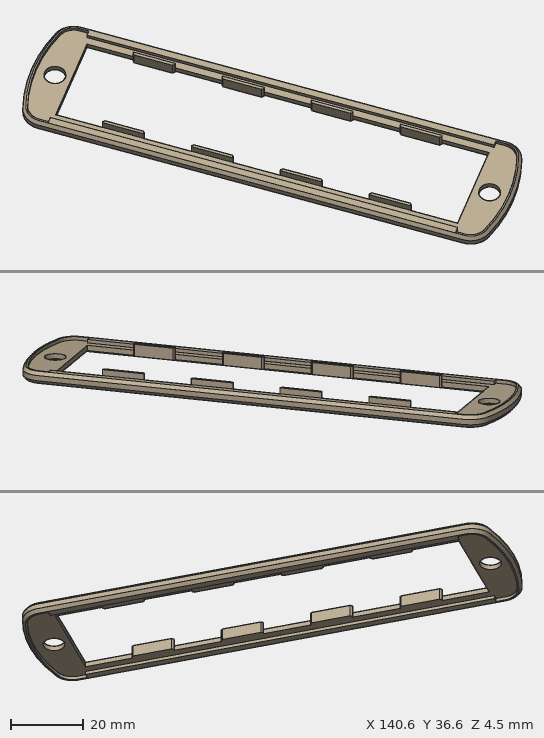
import cadquery as cq
import math

length = 140.6
width = 36.6
body_height = 3.5
end_radius = 45.0
corner_radius = 6.2
edge_chamfer_height = 1.0
edge_chamfer_inset = 0.85

rim_inset = 1.35
recess_depth = 1.0
web_bottom = recess_depth
web_top = body_height - recess_depth
rail_length = 119.0
rail_spacing = 30.8

window_length = 117.4
window_width = 26.4
hole_diameter = 6.0
hole_spacing = 127.0

tab_count = 4
tab_pitch = 26.0
tab_length = 12.2
tab_thickness = 0.9
tab_bevel = 0.5
tab_top = 4.5


def outline(inset):
    """Closed outline with bowed ends and tangent corners, moved inward by inset."""
    half_length = length / 2 - inset
    half_width = width / 2 - inset
    bow = end_radius - inset
    corner = corner_radius - inset

    bow_x = half_length - bow
    corner_y = half_width - corner
    corner_x = bow_x + math.sqrt((bow - corner) ** 2 - corner_y ** 2)
    joint_angle = math.atan2(corner_y, corner_x - bow_x)
    corner_mid_angle = (joint_angle + math.pi / 2) / 2

    joint_x = bow_x + bow * math.cos(joint_angle)
    joint_y = bow * math.sin(joint_angle)
    mid_x = corner_x + corner * math.cos(corner_mid_angle)
    mid_y = corner_y + corner * math.sin(corner_mid_angle)
    return (
        cq.Workplane("XY")
        .moveTo(-corner_x, half_width)
        .lineTo(corner_x, half_width)
        .threePointArc((mid_x, mid_y), (joint_x, joint_y))
        .threePointArc((half_length, 0), (joint_x, -joint_y))
        .threePointArc((mid_x, -mid_y), (corner_x, -half_width))
        .lineTo(-corner_x, -half_width)
        .threePointArc((-mid_x, -mid_y), (-joint_x, -joint_y))
        .threePointArc((-half_length, 0), (-joint_x, joint_y))
        .threePointArc((-mid_x, mid_y), (-corner_x, half_width))
        .close()
    )


def make_body():
    """Solid plate with its upper and lower outer edges chamfered."""
    body = outline(0).extrude(body_height)
    for face in (">Z", "<Z"):
        body = body.faces(face).edges().chamfer(edge_chamfer_height, edge_chamfer_inset)
    return body


def make_recess(base):
    """Pocket that follows the rim at both ends and narrows between the long rails."""
    pocket = outline(rim_inset).extrude(recess_depth)
    rail_width = (width - rail_spacing) / 2
    rail_y = (rail_spacing + rail_width) / 2
    rails = (
        cq.Workplane("XY")
        .pushPoints([(0, rail_y), (0, -rail_y)])
        .rect(rail_length, rail_width)
        .extrude(recess_depth)
    )
    return pocket.cut(rails).translate((0, 0, base))


def make_window():
    return cq.Workplane("XY").rect(window_length, window_width).extrude(body_height)


def make_holes():
    return (
        cq.Workplane("XY")
        .pushPoints([(-hole_spacing / 2, 0), (hole_spacing / 2, 0)])
        .circle(hole_diameter / 2)
        .extrude(body_height)
    )


def make_tab(x, side):
    """Upright tab on one window edge with bevelled inner corners; side is +1 or -1 along Y."""
    tab_y = side * (window_width - tab_thickness) / 2
    inner_edges = "|Z and <Y" if side > 0 else "|Z and >Y"
    return (
        cq.Workplane("XY")
        .box(tab_length, tab_thickness, tab_top - web_bottom, centered=(True, True, False))
        .edges(inner_edges)
        .chamfer(tab_bevel)
        .translate((x, tab_y, web_bottom))
    )


result = make_body()
result = result.cut(make_recess(web_top)).cut(make_recess(0))
result = result.cut(make_window()).cut(make_holes())
for index in range(tab_count):
    tab_x = (index - (tab_count - 1) / 2) * tab_pitch
    for side in (-1, 1):
        result = result.union(make_tab(tab_x, side))